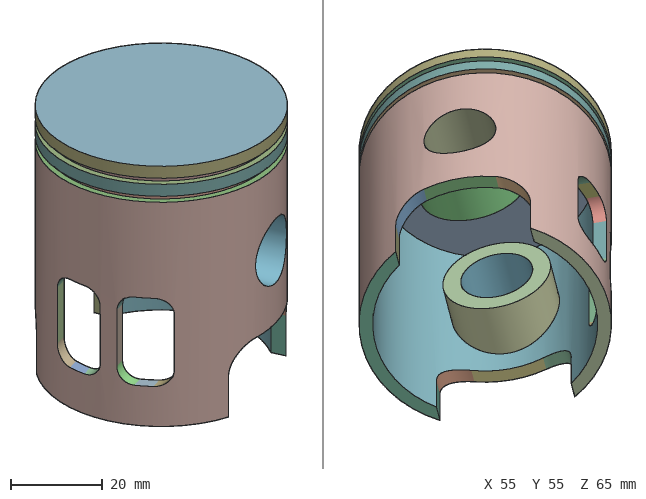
import cadquery as cq

outer_diameter = 55.0
height = 65.0
wall_thickness = 3.0
crown_thickness = 5.0
outer_radius = outer_diameter / 2
inner_radius = outer_radius - wall_thickness
cavity_height = height - crown_thickness

groove_count = 2
groove_width = 1.5
groove_depth = 1.5
land_height = 3.0

pin_diameter = 16.0
pin_height = 35.0
boss_diameter = 24.0
boss_gap = 24.0

cutaway_width = 30.0
cutaway_height = 17.0
cutaway_corner_radius = 7.0

window_width = 12.0
window_bottom = 10.0
window_top = 32.0
window_corner_radius = 4.0
window_spacing = 4.0


def make_cup():
    body = cq.Workplane("XY").circle(outer_radius).extrude(height)
    cavity = cq.Workplane("XY").circle(inner_radius).extrude(cavity_height)
    return body.cut(cavity)


def make_ring_groove(bottom):
    return (
        cq.Workplane("XY", origin=(0, 0, bottom))
        .circle(outer_radius)
        .circle(outer_radius - groove_depth)
        .extrude(groove_width)
    )


def make_cylinder_along_x(diameter, length):
    return (
        cq.Workplane("YZ", origin=(0, 0, pin_height))
        .circle(diameter / 2)
        .extrude(length / 2, both=True)
    )


def make_pin_bosses():
    """Two bosses that reach from the inside of the wall towards the middle."""
    bar = make_cylinder_along_x(boss_diameter, outer_diameter)
    gap = make_cylinder_along_x(boss_diameter, boss_gap)
    envelope = cq.Workplane("XY").circle(inner_radius + wall_thickness / 2).extrude(height)
    return bar.cut(gap).intersect(envelope)


def make_skirt_cutaway():
    return (
        cq.Workplane("XY")
        .box(outer_diameter, cutaway_width, cutaway_height, centered=(True, True, False))
        .edges("|X and >Z")
        .fillet(cutaway_corner_radius)
    )


def make_window(side):
    """Cutter for the window on the +X side (side = 1) or the -X side (side = -1)."""
    center_x = side * (window_spacing + window_width) / 2
    return (
        cq.Workplane("XZ", origin=(center_x, 0, (window_bottom + window_top) / 2))
        .rect(window_width, window_top - window_bottom)
        .extrude(outer_radius)
        .edges("|Y")
        .fillet(window_corner_radius)
    )


result = make_cup().union(make_pin_bosses())

for index in range(groove_count):
    groove_bottom = height - (index + 1) * (land_height + groove_width)
    result = result.cut(make_ring_groove(groove_bottom))

result = result.cut(make_cylinder_along_x(pin_diameter, outer_diameter))
result = result.cut(make_skirt_cutaway())

inner_core = cq.Workplane("XY").circle(inner_radius).extrude(height)
for side in (-1, 1):
    result = result.cut(make_window(side).cut(inner_core))